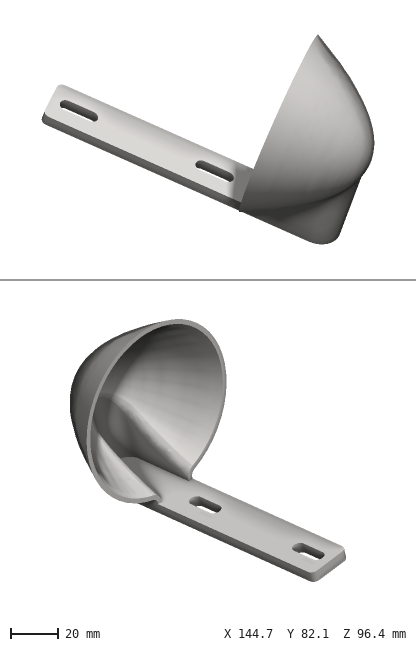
import cadquery as cq
import math

TILT = 15.0

PLATE_LENGTH = 134.9
PLATE_WIDTH = 20.8
PLATE_THICKNESS = 5.0
CORNER_RADIUS = 2.9

SLOT_LENGTH = 17.4
SLOT_WIDTH = 5.8
FIRST_SLOT_X = 13.0
SLOT_PITCH = 62.8

RIM_X = 94.0
RIM_RADIUS = 41.03
CUP_DEPTH = 42.3
CUP_AXIS_Z = 47.8
WALL = 2.2

BLEND_RADIUS = 3.0

OVERRUN = 8.7

MATCH_TOLERANCE = 0.01


def tongue(length, width, bottom, top):
    """Bar from X = 0 with a full-round far end."""
    half = width / 2
    return (
        cq.Workplane("XY", origin=(0, 0, bottom))
        .moveTo(0, -half)
        .lineTo(length - half, -half)
        .threePointArc((length, 0), (length - half, half))
        .lineTo(0, half)
        .close()
        .extrude(top - bottom)
    )


def paraboloid(rim_radius, depth):
    """Solid of revolution about the cup axis, carried past the rim along the same parabola."""
    total_depth = depth + OVERRUN
    mouth_radius = rim_radius * math.sqrt(total_depth / depth)
    mouth_x = RIM_X - OVERRUN
    apex_x = RIM_X + depth
    curve = cq.Edge.makeBezier([
        cq.Vector(apex_x, 0, CUP_AXIS_Z),
        cq.Vector(apex_x, 0, CUP_AXIS_Z + mouth_radius / 2),
        cq.Vector(mouth_x, 0, CUP_AXIS_Z + mouth_radius),
    ])
    mouth = cq.Edge.makeLine(curve.endPoint(), cq.Vector(mouth_x, 0, CUP_AXIS_Z))
    axis = cq.Edge.makeLine(mouth.endPoint(), curve.startPoint())
    profile = cq.Wire.assembleEdges([curve, mouth, axis])
    body = cq.Solid.revolve(
        profile, [], 360, cq.Vector(0, 0, CUP_AXIS_Z), cq.Vector(1.5, 0, CUP_AXIS_Z)
    )
    return cq.Workplane(body)


def cup_on_pedestal(offset):
    """Blended cup and pedestal, inset by the given offset and cut at the rim and plate top."""
    cup = paraboloid(RIM_RADIUS - offset, CUP_DEPTH - offset)
    pedestal = tongue(
        PLATE_LENGTH - offset, PLATE_WIDTH - 2 * offset, -2 * OVERRUN, CUP_AXIS_Z
    )
    behind_mouth = cq.Workplane("XY").box(
        RIM_X - OVERRUN, PLATE_WIDTH, 4 * RIM_RADIUS, centered=(False, True, True)
    )
    pedestal = pedestal.cut(behind_mouth)
    seam = [
        edge for edge in cup.intersect(pedestal).edges().vals()
        if edge.geomType() == "BSPLINE"
    ]
    joined = cup.union(pedestal)
    seam_centers = [edge.Center() for edge in seam]
    blend_edges = [
        edge for edge in joined.edges().vals()
        if any((edge.Center() - center).Length < MATCH_TOLERANCE for center in seam_centers)
    ]
    joined = cq.Workplane(joined.val().fillet(BLEND_RADIUS + offset, blend_edges))
    kept_region = cq.Workplane("XY", origin=(RIM_X, 0, PLATE_THICKNESS)).box(
        2 * CUP_DEPTH, 4 * RIM_RADIUS, 4 * RIM_RADIUS, centered=(False, True, False)
    )
    return joined.intersect(kept_region)


def slotted_plate():
    plate = tongue(PLATE_LENGTH, PLATE_WIDTH, 0, PLATE_THICKNESS)
    plate = plate.edges("|Z and <X").fillet(CORNER_RADIUS)
    slots = (
        cq.Workplane("XY")
        .pushPoints([(FIRST_SLOT_X, 0), (FIRST_SLOT_X + SLOT_PITCH, 0)])
        .slot2D(SLOT_LENGTH, SLOT_WIDTH)
        .extrude(PLATE_THICKNESS)
    )
    return plate.cut(slots)


shell = cup_on_pedestal(0).cut(cup_on_pedestal(WALL))
result = slotted_plate().union(shell).rotate((0, 0, 0), (0, 1, 0), TILT)